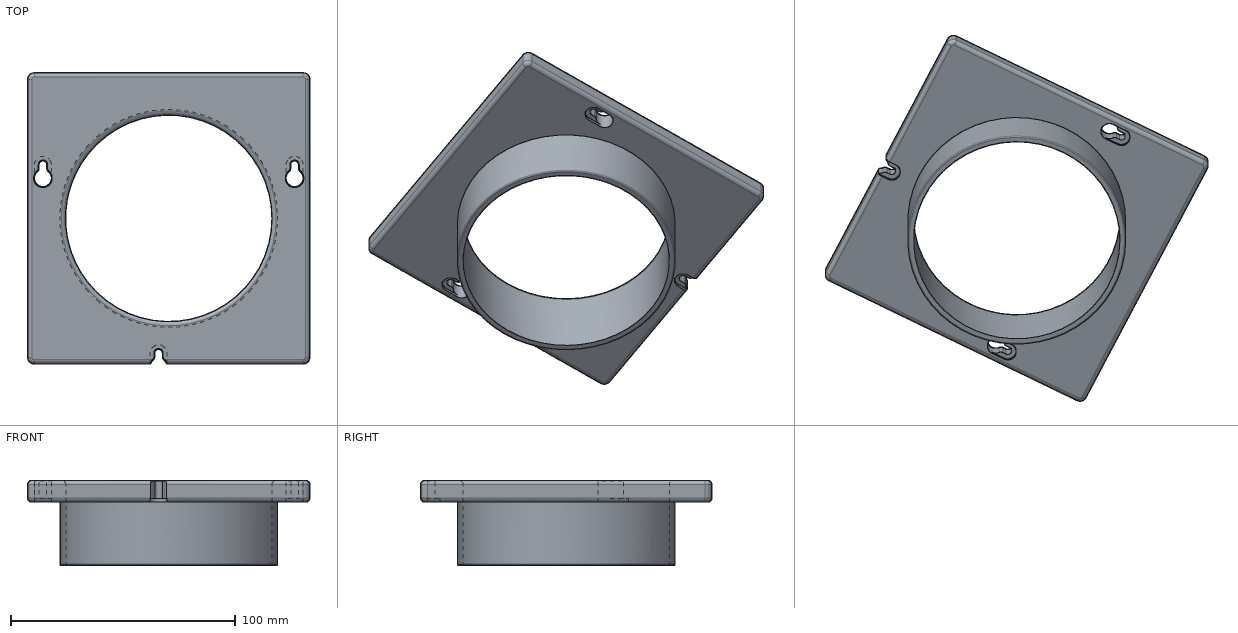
import cadquery as cq

width = 126.0
depth = 130.0
total_height = 38.0
plate_thickness = 9.8
corner_radius = 3.0
edge_radius = 2.0

bore_radius = 46.0
spigot_radius = 48.6
mouth_radius = 2.0
spigot_end_radius = 0.5

head_radius = 3.8
neck_radius = 1.7
shoulder_radius = 2.0
rim_chamfer = 0.4
rim_angle = 45
head_slot_depth = 1.7
neck_rise = 6.0
side_keyhole_x = 56.2
side_keyhole_y = 18.0
front_keyhole_x = -4.5
front_keyhole_y = -66.2


def make_flange():
    return (
        cq.Workplane("XY")
        .rect(width, depth)
        .extrude(-plate_thickness)
        .edges("|Z").fillet(corner_radius)
        .faces("<Z or >Z").edges().fillet(edge_radius)
    )


def make_spigot():
    return (
        cq.Workplane("XY")
        .workplane(offset=-plate_thickness / 2)
        .circle(spigot_radius)
        .extrude(plate_thickness / 2 - total_height)
        .faces("<Z").edges().fillet(spigot_end_radius)
    )


def make_upright_slot(lower_radius, upper_radius, top, bottom):
    """A disc and a straight neck above it that ends in a half round."""
    base = cq.Workplane("XY").workplane(offset=bottom)
    height = top - bottom
    lower_disc = base.circle(lower_radius).extrude(height)
    upper_disc = base.center(0, neck_rise).circle(upper_radius).extrude(height)
    neck = base.center(0, neck_rise / 2).rect(2 * upper_radius, neck_rise).extrude(height)
    return lower_disc.union(neck).union(upper_disc)


def make_keyhole():
    """Keyhole with a flared rim and, below, a wide slot in which the screw head slides."""
    opening = make_upright_slot(head_radius, neck_radius, -rim_chamfer, -plate_thickness)
    shoulders = cq.selectors.BoxSelector(
        (-head_radius, head_radius / 2, -plate_thickness),
        (head_radius, head_radius, 0),
    )
    opening = opening.edges("|Z").edges(shoulders).fillet(shoulder_radius)
    rim = opening.faces(">Z").wires().toPending().workplane().extrude(
        rim_chamfer, taper=-rim_angle, combine=False
    )
    head_slot = make_upright_slot(
        head_radius, head_radius, head_slot_depth - plate_thickness, -plate_thickness
    )
    return opening.union(rim).union(head_slot)


body = make_flange().union(make_spigot())
bore = cq.Workplane("XY").circle(bore_radius).extrude(-total_height)
body = body.cut(bore).faces(">Z").edges("%CIRCLE").fillet(mouth_radius)
keyhole = make_keyhole()
for x, y in [
    (-side_keyhole_x, side_keyhole_y),
    (side_keyhole_x, side_keyhole_y),
    (front_keyhole_x, front_keyhole_y),
]:
    body = body.cut(keyhole.translate((x, y, 0)))
result = body